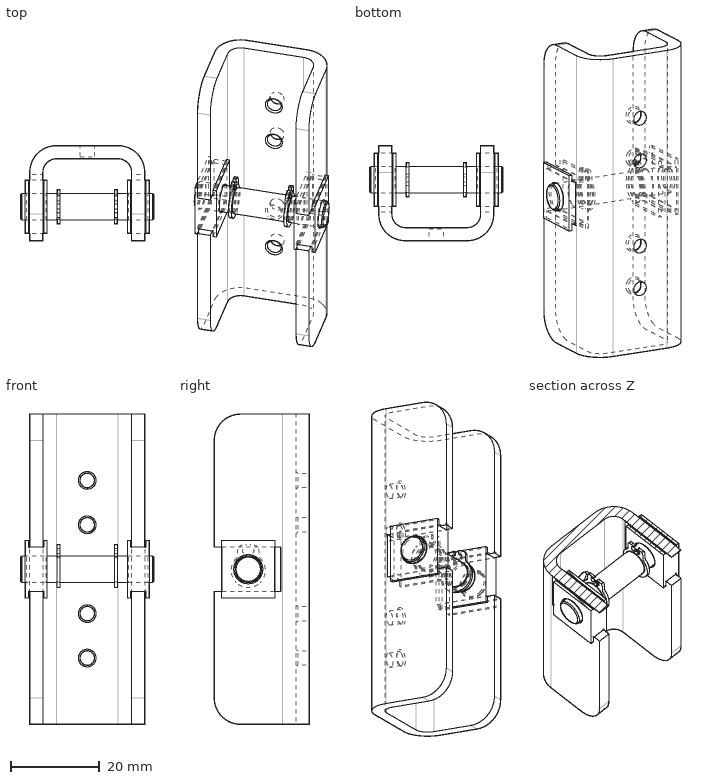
import cadquery as cq


channel_length = 70.0
channel_width = 26.0
channel_depth = 21.5
wall = 3.0
bend_radius = 6.0
corner_radius = 6.0
channel_back_y = 13.8
channel_front_y = channel_back_y - channel_depth
notch_height = 10.0
notch_depth = 15.0
hole_diameter = 3.2
hole_mouth_diameter = 4.0
hole_pitch = 10.0
hole_rows = (-2, -1, 1, 2)

pin_length = 30.0
pin_diameter = 6.0
pin_chamfer = 0.3
groove_diameter = 5.7
groove_width = 0.8
groove_inner_x = 6.1

block_width = 5.0
block_depth = 12.0
block_height = 13.0
flange_thickness = 0.8
bore_chamfer = 0.3
block_outer_x = 14.0
block_middle_x = block_outer_x - block_width / 2

ring_thickness = 0.7
ring_diameter = 7.7
ring_drop = 0.3
lug_tip_radius = 5.6
lug_half_span = 2.4
lug_corner_radius = 1.2
lug_root_radius = 0.85
lug_gap = 1.1
lug_hole_diameter = 1.2
lug_hole_y = 0.7
lug_hole_z = 4.1


def make_block_at(x, y, z, size_x, size_y, size_z):
    """Rectangular block centred on a point."""
    return cq.Workplane("XY").box(size_x, size_y, size_z).translate((x, y, z))


def make_mounting_hole():
    """Cutter for one hole through the back wall, chamfered on the inside face."""
    inside_y = channel_back_y - wall
    radius = hole_diameter / 2
    mouth_radius = hole_mouth_diameter / 2
    profile = [
        (0, inside_y),
        (mouth_radius, inside_y),
        (radius, inside_y + mouth_radius - radius),
        (radius, channel_back_y),
        (0, channel_back_y),
    ]
    return cq.Workplane("XY").polyline(profile).close().revolve(360, (0, 0), (0, 1))


def make_channel():
    """U-shaped channel with notched legs and a row of holes in its back."""
    middle_y = (channel_back_y + channel_front_y) / 2
    channel = make_block_at(0, middle_y, 0, channel_width, channel_depth, channel_length)
    channel = channel.edges("|Z and >Y").fillet(bend_radius)
    channel = channel.edges("|X and <Y").fillet(corner_radius)

    inside = make_block_at(0, middle_y - wall, 0, channel_width - 2 * wall, channel_depth, channel_length)
    inside = inside.edges("|Z and >Y").fillet(bend_radius - wall)
    channel = channel.cut(inside)

    notch_y = channel_front_y + notch_depth / 2
    channel = channel.cut(make_block_at(0, notch_y, 0, channel_width, notch_depth, notch_height))

    for row in hole_rows:
        channel = channel.cut(make_mounting_hole().translate((0, 0, row * hole_pitch)))
    return channel


def make_pin():
    """Round pin with chamfered ends and two ring grooves."""
    pin = cq.Workplane("YZ").circle(pin_diameter / 2).extrude(pin_length / 2, both=True)
    pin = pin.faces("<X or >X").chamfer(pin_chamfer)
    groove = (
        cq.Workplane("YZ", origin=(groove_inner_x, 0, 0))
        .circle(pin_diameter / 2)
        .circle(groove_diameter / 2)
        .extrude(groove_width)
    )
    return pin.cut(groove).cut(groove.mirror("YZ"))


def make_slide_block():
    """Slide block on the +X side: a web filling the leg notch between two wider flanges."""
    block = make_block_at(block_middle_x, 0, 0, block_width, block_depth, block_height)
    track_width = block_width - 2 * flange_thickness
    track = make_block_at(block_middle_x, 0, 0, track_width, block_depth, block_height)
    web = make_block_at(block_middle_x, 0, 0, track_width, block_depth, notch_height)
    bore = cq.Workplane("YZ").circle(pin_diameter / 2).extrude(pin_length / 2)
    block = block.cut(track.cut(web)).cut(bore)
    return block.edges("%CIRCLE").chamfer(bore_chamfer)


def make_retaining_ring():
    """Open ring in the +X groove, with two drilled lugs pointing up."""
    plane = cq.Workplane("YZ", origin=(groove_inner_x, 0, 0))
    ring = plane.center(0, -ring_drop).circle(ring_diameter / 2).extrude(ring_thickness)
    lugs = plane.center(0, lug_tip_radius / 2).rect(2 * lug_half_span, lug_tip_radius).extrude(ring_thickness)
    lugs = lugs.intersect(plane.circle(lug_tip_radius).extrude(ring_thickness))
    lugs = lugs.edges("|X").edges(">Z").fillet(lug_corner_radius)
    ring = ring.union(lugs)

    root_z = ((ring_diameter / 2) ** 2 - lug_half_span**2) ** 0.5 - ring_drop
    for side in (-1, 1):
        root = cq.selectors.NearestToPointSelector(
            (groove_inner_x + ring_thickness / 2, side * lug_half_span, root_z)
        )
        ring = ring.edges(root).fillet(lug_root_radius)

    bore = plane.circle(groove_diameter / 2).extrude(ring_thickness)
    gap = plane.center(0, lug_tip_radius / 2).rect(lug_gap, lug_tip_radius).extrude(ring_thickness)
    lug_holes = (
        plane.pushPoints([(-lug_hole_y, lug_hole_z), (lug_hole_y, lug_hole_z)])
        .circle(lug_hole_diameter / 2)
        .extrude(ring_thickness)
    )
    return ring.cut(bore).cut(gap).cut(lug_holes)


def make_pair(body):
    """The body on the +X side and its mirror image on the -X side."""
    return [*body.solids().vals(), *body.mirror("YZ").solids().vals()]


channel = make_channel()
pin = make_pin()
slide_blocks = make_pair(make_slide_block())
retaining_rings = make_pair(make_retaining_ring())

result = cq.Compound.makeCompound(
    [channel.solids().val(), pin.solids().val(), *slide_blocks, *retaining_rings]
)